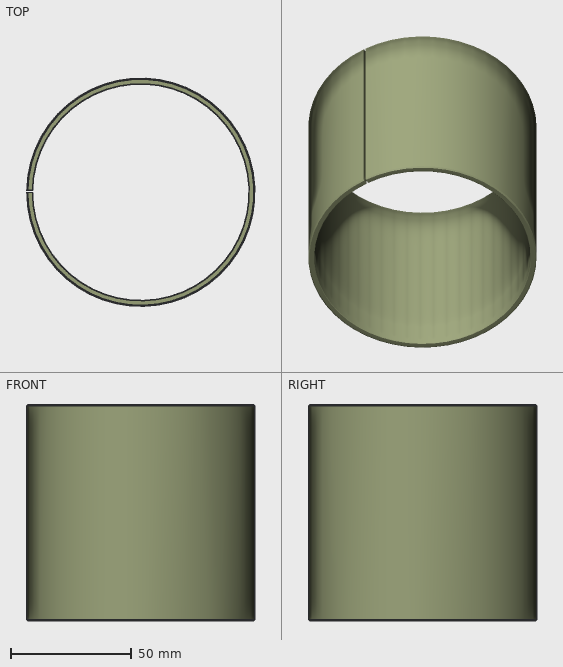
import cadquery as cq

outer_diameter = 95.0
wall_thickness = 2.5
length = 90.0

outer_chamfer = 0.5
bore_chamfer = 0.2

gap_angle = 1.0

outer_radius = outer_diameter / 2
inner_radius = outer_radius - wall_thickness
outer_rim_radius = outer_radius - outer_chamfer
bore_rim_radius = inner_radius + bore_chamfer


def make_wall_section():
    """Wall cross-section on the -X side, chamfered at all four corners."""
    return (
        cq.Workplane("XZ")
        .moveTo(-inner_radius, bore_chamfer)
        .lineTo(-bore_rim_radius, 0)
        .lineTo(-outer_rim_radius, 0)
        .lineTo(-outer_radius, outer_chamfer)
        .lineTo(-outer_radius, length - outer_chamfer)
        .lineTo(-outer_rim_radius, length)
        .lineTo(-bore_rim_radius, length)
        .lineTo(-inner_radius, length - bore_chamfer)
        .close()
    )


result = make_wall_section().revolve(360 - gap_angle, (0, 0, 0), (0, 1, 0))